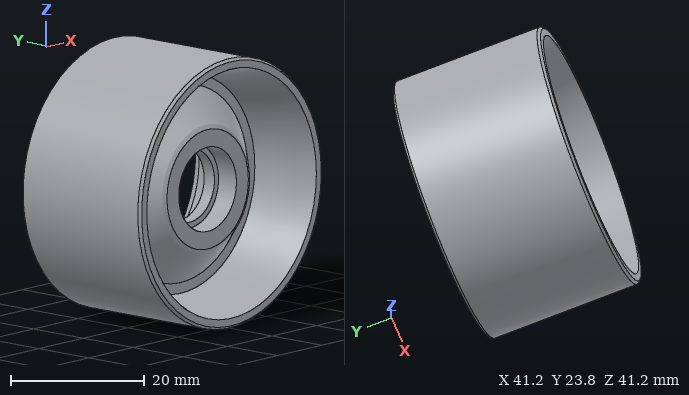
import cadquery as cq

outer_diameter = 41.25
width = 23.8
edge_chamfer = 0.4

recess_mouth_diameter = 38.15
recess_floor_diameter = 33.43
recess_depth = 10.25

hub_base_diameter = 30.13
hub_shoulder_diameter = 19.55
hub_face_diameter = 18.3
hub_setback = 4.8
hub_bevel_height = 0.35

land_diameter = 11.1
seat_diameter = 12.9
seat_depth = 3.6
land_length = 2.05

rear_mouth_diameter = 37.2
rear_floor_diameter = 34.9
rear_mouth_depth = 4.75
pocket_diameter = 28.15

front_y = -width / 2
rear_y = width / 2
recess_floor_y = front_y + recess_depth
hub_face_y = front_y + hub_setback
land_start_y = hub_face_y + seat_depth
land_end_y = land_start_y + land_length
rear_floor_y = rear_y - rear_mouth_depth


def revolve_about_y(profile):
    """Solid of revolution from (radius, y) points."""
    return cq.Workplane("XY").polyline(profile).close().revolve(360, (0, 0, 0), (0, 1, 0))


def rim_blank():
    """Solid cylinder with both outer edges chamfered."""
    blank = cq.Workplane("XZ", origin=(0, front_y, 0)).circle(outer_diameter / 2).extrude(-width)
    return blank.faces("<Y or >Y").chamfer(edge_chamfer)


def front_recess():
    """Recess between the rim and the hub, including the space ahead of the hub."""
    return revolve_about_y([
        (0, front_y),
        (recess_mouth_diameter / 2, front_y),
        (recess_floor_diameter / 2, recess_floor_y),
        (hub_base_diameter / 2, recess_floor_y),
        (hub_shoulder_diameter / 2, hub_face_y + hub_bevel_height),
        (hub_face_diameter / 2, hub_face_y),
        (0, hub_face_y),
    ])


def bore_and_rear_pocket():
    """Through opening from the hub face to the rear end."""
    return revolve_about_y([
        (0, hub_face_y),
        (seat_diameter / 2, hub_face_y),
        (seat_diameter / 2, land_start_y),
        (land_diameter / 2, land_start_y),
        (land_diameter / 2, land_end_y),
        (pocket_diameter / 2, land_end_y),
        (pocket_diameter / 2, rear_floor_y),
        (rear_floor_diameter / 2, rear_floor_y),
        (rear_mouth_diameter / 2, rear_y),
        (0, rear_y),
    ])


result = rim_blank().cut(front_recess()).cut(bore_and_rear_pocket())